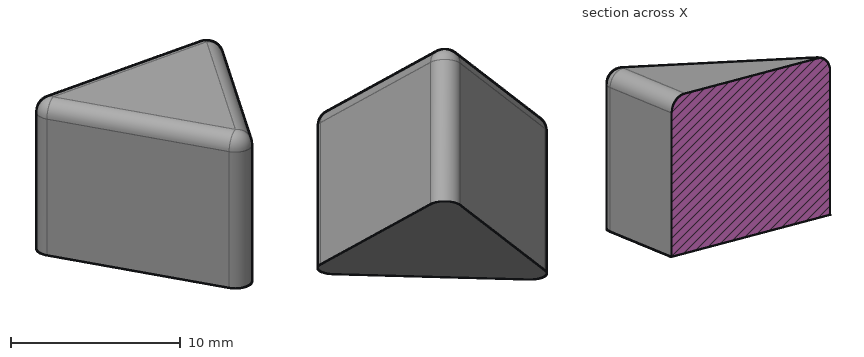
import cadquery as cq
import math

side_length = 15.0
block_height = 10.0
edge_radius = 1.0

corner_distance = side_length / math.sqrt(3)
flat_distance = corner_distance / 2


def sharp_prism():
    """Triangular prism standing on Z = 0, with one corner pointing along +Y."""
    corners = [
        (-side_length / 2, -flat_distance),
        (side_length / 2, -flat_distance),
        (0, corner_distance),
    ]
    return cq.Workplane("XY").polyline(corners).close().extrude(block_height)


def round_edges(prism):
    """Round the upright and top edges together, so the top corners become spherical."""
    return prism.edges("|Z or >Z").fillet(edge_radius)


result = round_edges(sharp_prism())